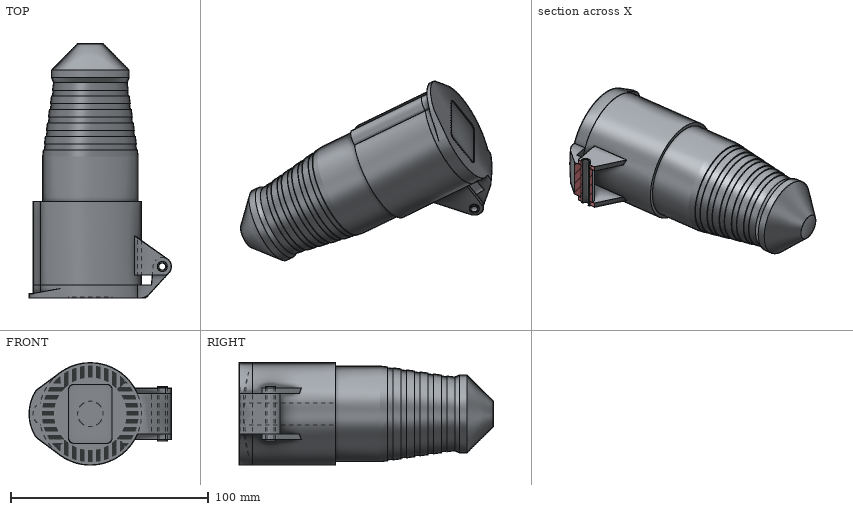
import cadquery as cq
import math


TOTAL_LENGTH = 129.0
LID_THICKNESS = 6.7
HOUSING_END = 49.0

BODY_DIAMETER = 52.0
BODY_RADIUS = BODY_DIAMETER / 2
KEY_DIAMETER = 12.4
KEY_OUTER_X = -29.0

HINGE_X = 36.5
HINGE_Y = 16.0
KNUCKLE_RADIUS = 4.6
PIN_DIAMETER = 5.0
PIN_BORE = 3.5
PIN_OVERHANG = 0.8
ARM_WIDTH = 20.6
EAR_THICKNESS = 2.7
EAR_SPAN = ARM_WIDTH + 2 * EAR_THICKNESS
EAR_INNER_X = 21.9
EAR_BOTTOM_Y = 11.6
EAR_TOP_Y = 32.0
ARM_SLOPE_ANGLE = 47.5
ARM_INNER_X = 31.0
NOSE_MIDDLE_RADIUS = 1.8
NOSE_SIDE_RADIUS = 7.2

TAB_WEDGE_X = -15.5
TAB_TIP_X = -31.1
TAB_CORNER_RADIUS = 6.3
TAB_TIP_RADIUS = 21.7
TAB_ROOT_THICKNESS = 4.8
TAB_TIP_THICKNESS = 2.2
TAB_FLAT_X = -29.7

LABEL_WIDTH = 22.2
LABEL_HEIGHT = 30.0
LABEL_CORNER_RADIUS = 3.0
LABEL_DEPTH = 0.5

GRIP_RADIUS = 24.3
RING_COUNT = 6
RING_PITCH = 6.8
RING_LENGTH = 4.0
FIRST_RING_Y = 109.4
RING_START_RADIUS = 18.7
RING_RADIUS_STEP = 1.0
RING_SLOPE = 0.13
GROOVE_DEPTH = 0.32
GRIP_BARREL_Y = 71.7
COLLAR_RADIUS = 19.7
COLLAR_START_Y = 111.8
COLLAR_END_Y = 115.6
CABLE_END_RADIUS = 6.5


def along_y(outline, y_start, y_end):
    """Extrude an XZ outline from y_start to y_end."""
    return outline.extrude(y_start - y_end).translate((0, y_start, 0))


def round_bar(x, radius, y_start, y_end):
    """Cylinder along Y, centred on the given X."""
    return along_y(cq.Workplane("XZ").center(x, 0).circle(radius), y_start, y_end)


def keyed_barrel(y_start, y_end):
    """Round barrel with the rounded key rib along its -X side."""
    key_radius = KEY_DIAMETER / 2
    barrel = round_bar(0, BODY_RADIUS, y_start, y_end)
    return barrel.union(round_bar(KEY_OUTER_X + key_radius, key_radius, y_start, y_end))


def hinge_cylinder(diameter, length):
    """Cylinder on the hinge axis, centred on Z = 0."""
    axis_start = cq.Workplane("XY", origin=(HINGE_X, HINGE_Y, -length / 2))
    return axis_start.circle(diameter / 2).extrude(length)


def knuckle_point(angle):
    """Point on the knuckle circle; the angle is in radians from +X."""
    return (HINGE_X + KNUCKLE_RADIUS * math.cos(angle), HINGE_Y + KNUCKLE_RADIUS * math.sin(angle))


def make_ear(z_bottom):
    """One triangular hinge ear, rounded about the hinge axis."""
    run = EAR_INNER_X - HINGE_X
    rise = EAR_TOP_Y - HINGE_Y
    tangent_angle = math.atan2(rise, run) - math.acos(KNUCKLE_RADIUS / math.hypot(run, rise))
    bottom_angle = math.asin((EAR_BOTTOM_Y - HINGE_Y) / KNUCKLE_RADIUS)
    return (
        cq.Workplane("XY", origin=(0, 0, z_bottom))
        .moveTo(EAR_INNER_X, EAR_BOTTOM_Y)
        .lineTo(EAR_INNER_X, EAR_TOP_Y)
        .lineTo(*knuckle_point(tangent_angle))
        .threePointArc(knuckle_point(0), knuckle_point(bottom_angle))
        .close()
        .extrude(EAR_THICKNESS)
    )


def make_housing():
    """Keyed barrel with a pair of hinge ears drilled for the pin."""
    housing = keyed_barrel(LID_THICKNESS, HOUSING_END)
    for z_bottom in (-EAR_SPAN / 2, ARM_WIDTH / 2):
        housing = housing.union(make_ear(z_bottom))
    return housing.cut(hinge_cylinder(PIN_DIAMETER, EAR_SPAN))


def make_grip():
    """Revolved grip: plain barrel, tapered rings with grooves, collar and cable cone."""
    outline = [(0, HOUSING_END), (GRIP_RADIUS, HOUSING_END), (GRIP_RADIUS, GRIP_BARREL_Y)]
    for ring in reversed(range(RING_COUNT)):
        top_y = FIRST_RING_Y - ring * RING_PITCH
        top_radius = RING_START_RADIUS + ring * RING_RADIUS_STEP
        if ring < RING_COUNT - 1:
            ring_bottom_y = top_y - RING_LENGTH
            groove_bottom_y = top_y - RING_PITCH
            ring_bottom_radius = top_radius + RING_SLOPE * RING_LENGTH
            groove_bottom_radius = top_radius + RING_SLOPE * RING_PITCH - GROOVE_DEPTH
            outline += [
                (groove_bottom_radius, groove_bottom_y),
                (ring_bottom_radius - GROOVE_DEPTH, ring_bottom_y),
                (ring_bottom_radius, ring_bottom_y),
            ]
        outline.append((top_radius, top_y))
    outline += [
        (COLLAR_RADIUS, COLLAR_START_Y),
        (COLLAR_RADIUS, COLLAR_END_Y),
        (CABLE_END_RADIUS, TOTAL_LENGTH),
        (0, TOTAL_LENGTH),
    ]
    return cq.Workplane("XY").polyline(outline).close().revolve(360, (0, 0), (0, 1))


def make_thumb_tab():
    """Tab tangent to the lid rim, thinning toward its tip."""
    root_z = math.sqrt(BODY_RADIUS**2 - TAB_WEDGE_X**2)
    tip_centre_x = TAB_TIP_X + TAB_TIP_RADIUS
    side_x = -root_z / BODY_RADIUS
    side_z = TAB_WEDGE_X / BODY_RADIUS
    from_centre_x = TAB_WEDGE_X - tip_centre_x
    approach = from_centre_x * side_x + root_z * side_z
    clearance = from_centre_x**2 + root_z**2 - TAB_TIP_RADIUS**2
    side_run = -approach + math.sqrt(approach**2 - clearance)
    corner_x = TAB_WEDGE_X + side_run * side_x
    corner_z = root_z + side_run * side_z
    plan = (
        cq.Workplane("XZ")
        .moveTo(TAB_WEDGE_X, root_z)
        .lineTo(corner_x, corner_z)
        .threePointArc((TAB_TIP_X, 0), (corner_x, -corner_z))
        .lineTo(TAB_WEDGE_X, -root_z)
        .close()
    )
    tab = along_y(plan, 0, LID_THICKNESS)
    tab = tab.edges("|Y").edges("<X").fillet(TAB_CORNER_RADIUS)
    thickness_profile = (
        cq.Workplane("XY")
        .moveTo(TAB_WEDGE_X, 0)
        .lineTo(TAB_WEDGE_X, TAB_ROOT_THICKNESS)
        .lineTo(TAB_FLAT_X, TAB_TIP_THICKNESS)
        .lineTo(TAB_TIP_X, TAB_TIP_THICKNESS)
        .lineTo(TAB_TIP_X, 0)
        .close()
        .extrude(BODY_RADIUS, both=True)
    )
    return tab.intersect(thickness_profile)


def nose_section(corner_x, slope, radius, z):
    """Sliver between a rounding of the given radius and the sharp front corner of the arm."""
    setback = radius * math.tan(slope / 2)
    centre_x = corner_x - setback
    corner = cq.Vector(corner_x, 0, z)
    front_tangent = cq.Vector(centre_x, 0, z)
    slope_tangent = corner + cq.Vector(math.cos(slope), math.sin(slope)) * setback
    arc_middle = front_tangent + cq.Vector(math.sin(slope / 2), 1 - math.cos(slope / 2)) * radius
    return cq.Wire.assembleEdges(
        [
            cq.Edge.makeLine(front_tangent, corner),
            cq.Edge.makeLine(corner, slope_tangent),
            cq.Edge.makeThreePointArc(slope_tangent, arc_middle, front_tangent),
        ]
    )


def make_arm():
    """Sloped hinge arm with a knuckle; its front edge is rounded more toward the sides."""
    slope = math.radians(ARM_SLOPE_ANGLE)
    slope_end = knuckle_point(slope - math.pi / 2)
    corner_x = slope_end[0] - slope_end[1] / math.tan(slope)
    arm = (
        cq.Workplane("XY", origin=(0, 0, -ARM_WIDTH / 2))
        .lineTo(corner_x, 0)
        .lineTo(*slope_end)
        .threePointArc(knuckle_point(math.pi / 4), knuckle_point(math.pi))
        .lineTo(ARM_INNER_X, LID_THICKNESS)
        .lineTo(0, LID_THICKNESS)
        .close()
        .extrude(ARM_WIDTH)
    )
    side_z = ARM_WIDTH / 2
    nose_roundings = [(-side_z, NOSE_SIDE_RADIUS), (0, NOSE_MIDDLE_RADIUS), (side_z, NOSE_SIDE_RADIUS)]
    sections = [nose_section(corner_x, slope, radius, z) for z, radius in nose_roundings]
    return arm.cut(cq.Workplane(cq.Solid.makeLoft(sections)))


def make_lid():
    """Closed keyed disc with the hinge arm, thumb tab and label recess."""
    lid = keyed_barrel(0, LID_THICKNESS).union(make_arm())
    lid = lid.union(make_thumb_tab())
    label = cq.Workplane("XZ").rect(LABEL_WIDTH, LABEL_HEIGHT)
    recess = along_y(label, 0, LABEL_DEPTH).edges("|Y").fillet(LABEL_CORNER_RADIUS)
    return lid.cut(recess).cut(hinge_cylinder(PIN_DIAMETER, ARM_WIDTH))


def make_pin():
    """Tubular pin standing slightly out of both ears."""
    length = EAR_SPAN + 2 * PIN_OVERHANG
    return hinge_cylinder(PIN_DIAMETER, length).cut(hinge_cylinder(PIN_BORE, length))


housing = make_housing().solids()
grip = make_grip()
lid = make_lid().solids()
pin = make_pin().solids()

result = cq.Compound.makeCompound([housing.val(), grip.val(), lid.val(), pin.val()])